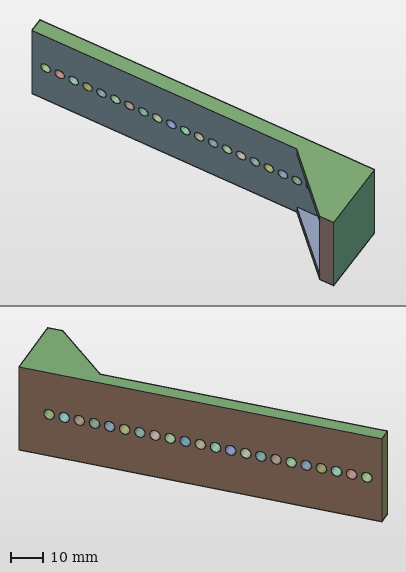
import cadquery as cq

length = 120.0
height = 30.0
pitch_divisions = 24
hole_count = 22
hole_diameter = 3.5

hole_pitch = length / pitch_divisions
wall = hole_pitch
depth = 5 * wall
gusset_thickness = wall / 2
gusset_leg = depth - wall
flange_inner_x = length - wall


def make_box(size_x, size_y):
    """Full-height block with its back face on Y = 0."""
    return cq.Workplane("XY").box(size_x, size_y, height, centered=(False, False, False)).translate(
        (0, -size_y, 0)
    )


def make_gusset(bottom_z):
    """Triangular web in the corner between plate and flange."""
    return (
        cq.Workplane("XY", origin=(0, 0, bottom_z))
        .moveTo(flange_inner_x - gusset_leg, -wall)
        .lineTo(flange_inner_x, -wall)
        .lineTo(flange_inner_x, -depth)
        .close()
        .extrude(gusset_thickness)
    )


plate = make_box(length, wall)
flange = make_box(wall, depth).translate((flange_inner_x, 0, 0))
bracket = plate.union(flange)

for bottom_z in (0, height - gusset_thickness):
    bracket = bracket.union(make_gusset(bottom_z))

hole_centers = [((i + 1) * hole_pitch, height / 2) for i in range(hole_count)]
holes = (
    cq.Workplane("XZ")
    .pushPoints(hole_centers)
    .circle(hole_diameter / 2)
    .extrude(wall)
)

result = bracket.cut(holes).clean()